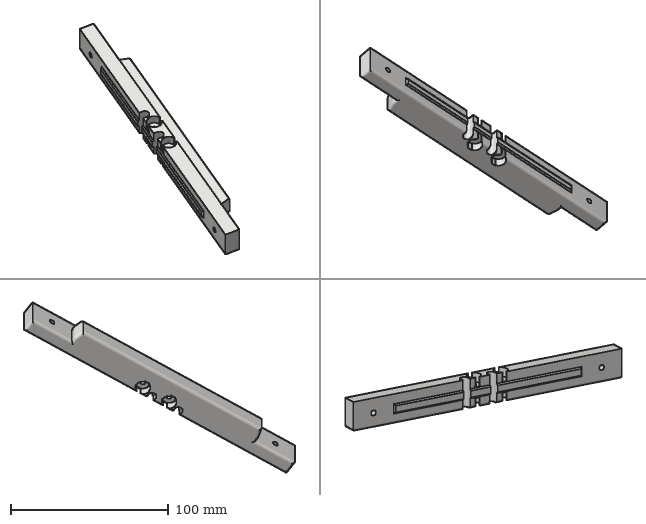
import cadquery as cq

BAR_LENGTH = 200.0
BAR_DEPTH = 10.0
BAR_HEIGHT = 20.0
MID_HEIGHT = BAR_HEIGHT / 2

EDGE_RADIUS = 2.0

BLOCK_HALF_LENGTH = 70.0
BLOCK_DEPTH = 10.0
BLOCK_HEIGHT = 13.5
BLOCK_STRAIGHT_DEPTH = 3.0
BLOCK_END_TAPER = 2.0

RIB_LENGTH = 140.0
RIB_HEIGHT = 6.5
RIB_DEPTH = 1.0
RIB_BEVEL = 1.0

GROOVE_WIDTH = 5.4
GROOVE_DEPTH = 5.5
GROOVE_POSITIONS = (-15.75, 4.25)
BOLT_OFFSET = 8.5
BOLT_DIAMETER = 3.0
BOLT_RECESS_DIAMETER = 9.5
BOLT_RECESS_DEPTH = 6.2
BOLT_SLOT_WIDTH = BOLT_DIAMETER

MOUNT_DIAMETER = 3.5
MOUNT_POSITION = 85.0


def make_bar():
    return cq.Workplane("XY").box(BAR_LENGTH, BAR_DEPTH, BAR_HEIGHT, centered=(True, False, False))


def make_block():
    back = BAR_DEPTH + BLOCK_DEPTH
    straight_end = BAR_DEPTH + BLOCK_STRAIGHT_DEPTH
    back_half_length = BLOCK_HALF_LENGTH - BLOCK_END_TAPER
    plan = [
        (-BLOCK_HALF_LENGTH, BAR_DEPTH),
        (BLOCK_HALF_LENGTH, BAR_DEPTH),
        (BLOCK_HALF_LENGTH, straight_end),
        (back_half_length, back),
        (-back_half_length, back),
        (-BLOCK_HALF_LENGTH, straight_end),
    ]
    block = cq.Workplane("XY").polyline(plan).close().extrude(BLOCK_HEIGHT)
    return block.faces(">Y").edges(">Z").fillet(EDGE_RADIUS)


def make_body():
    """Bar and block joined, with the whole outline of the underside rounded."""
    return make_bar().union(make_block()).faces("<Z").edges().fillet(EDGE_RADIUS)


def make_rib():
    return (
        cq.Workplane("XZ", origin=(0, 0, MID_HEIGHT))
        .rect(RIB_LENGTH, RIB_HEIGHT)
        .workplane(offset=RIB_DEPTH)
        .rect(RIB_LENGTH - 2 * RIB_BEVEL, RIB_HEIGHT - 2 * RIB_BEVEL)
        .loft(ruled=True)
    )


def vertical_cylinder(x, diameter, bottom, height):
    return cq.Workplane("XY", origin=(x, BAR_DEPTH / 2, bottom)).circle(diameter / 2).extrude(height)


def make_groove(x):
    radius = GROOVE_WIDTH / 2
    arc_start = GROOVE_DEPTH - radius
    return (
        cq.Workplane("XY")
        .moveTo(x - radius, -RIB_DEPTH)
        .lineTo(x + radius, -RIB_DEPTH)
        .lineTo(x + radius, arc_start)
        .threePointArc((x, GROOVE_DEPTH), (x - radius, arc_start))
        .close()
        .extrude(BAR_HEIGHT)
    )


def make_bolt_hole(x):
    """Through hole with, at each end, a round recess crossed by a slot through the bar."""
    hole = vertical_cylinder(x, BOLT_DIAMETER, 0, BAR_HEIGHT)
    slot = cq.Workplane("XY").box(
        BOLT_SLOT_WIDTH, BAR_DEPTH, BOLT_RECESS_DEPTH, centered=(True, False, False)
    )
    for bottom in (0, BAR_HEIGHT - BOLT_RECESS_DEPTH):
        hole = hole.union(vertical_cylinder(x, BOLT_RECESS_DIAMETER, bottom, BOLT_RECESS_DEPTH))
        hole = hole.union(slot.translate((x, 0, bottom)))
    return hole


def make_mount_holes():
    return (
        cq.Workplane("XZ", origin=(0, 0, MID_HEIGHT))
        .pushPoints([(-MOUNT_POSITION, 0), (MOUNT_POSITION, 0)])
        .circle(MOUNT_DIAMETER / 2)
        .extrude(-BAR_DEPTH)
    )


result = make_body().union(make_rib())
for groove_x in GROOVE_POSITIONS:
    result = result.cut(make_groove(groove_x))
    result = result.cut(make_bolt_hole(groove_x + BOLT_OFFSET))
result = result.cut(make_mount_holes())